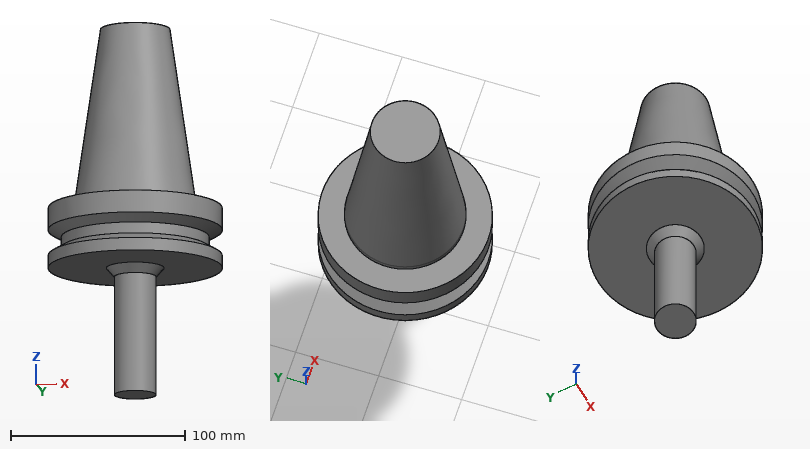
import cadquery as cq

flange_diameter = 100.0
groove_diameter = 85.0
taper_large_diameter = 69.9
taper_small_diameter = 40.0
collar_diameter = 33.2
shank_diameter = 24.0

total_length = 214.3
taper_length = 101.8
gauge_land_length = 3.0
upper_rim_length = 12.9
groove_wall_length = 4.3
groove_floor_length = 6.5
lower_rim_length = 7.3
collar_length = 5.1

gauge_line_z = total_length - taper_length
flange_top_z = gauge_line_z - gauge_land_length
groove_top_z = flange_top_z - upper_rim_length
groove_floor_top_z = groove_top_z - groove_wall_length
groove_floor_bottom_z = groove_floor_top_z - groove_floor_length
groove_bottom_z = groove_floor_bottom_z - groove_wall_length
flange_bottom_z = groove_bottom_z - lower_rim_length
shank_top_z = flange_bottom_z - collar_length

section = [
    (0, 0),
    (shank_diameter, 0),
    (shank_diameter, shank_top_z),
    (collar_diameter, flange_bottom_z),
    (flange_diameter, flange_bottom_z),
    (flange_diameter, groove_bottom_z),
    (groove_diameter, groove_floor_bottom_z),
    (groove_diameter, groove_floor_top_z),
    (flange_diameter, groove_top_z),
    (flange_diameter, flange_top_z),
    (taper_large_diameter, flange_top_z),
    (taper_large_diameter, gauge_line_z),
    (taper_small_diameter, total_length),
    (0, total_length),
]

half_section = [(diameter / 2, z) for diameter, z in section]
result = cq.Workplane("XZ").polyline(half_section).close().revolve(360, (0, 0), (0, 1))